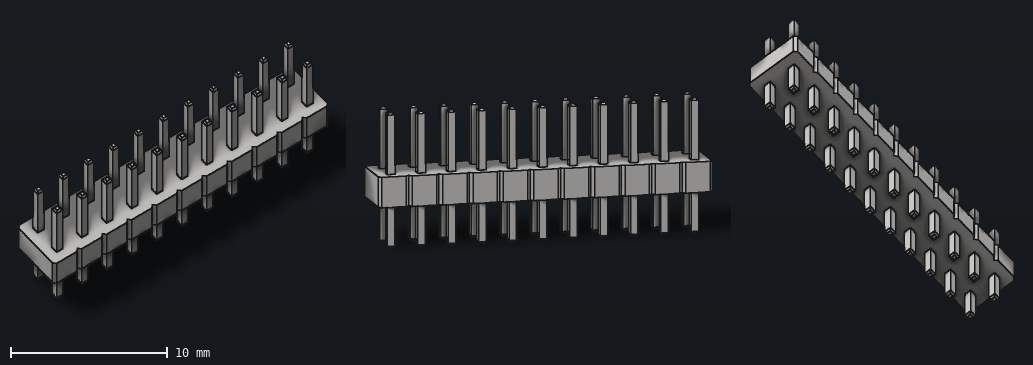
import cadquery as cq

body_length = 22.0
row_count = 11
column_count = 2
pitch = body_length / row_count
body_width = column_count * pitch
body_height = pitch
corner_cut = 0.2

pin_width = 0.5
tip_taper = pin_width / 4
pin_above = 2 * pitch
total_height = 8.8
pin_below = total_height - body_height - pin_above


def make_row_block(y_center):
    """One row of the housing, with its four vertical edges cut at 45 degrees."""
    block = cq.Workplane("XY").box(body_width, pitch, body_height, centered=(True, True, False))
    return block.edges("|Z").chamfer(corner_cut).translate((0, y_center, 0))


def make_pin(x_center, y_center):
    """A square pin running through the housing, tapered at both ends."""
    pin = cq.Workplane("XY").box(pin_width, pin_width, total_height, centered=(True, True, False))
    pin = pin.faces("<Z or >Z").chamfer(tip_taper)
    return pin.translate((x_center, y_center, -pin_below))


row_positions = [(row - (row_count - 1) / 2) * pitch for row in range(row_count)]
column_positions = [(column - (column_count - 1) / 2) * pitch for column in range(column_count)]

housing = make_row_block(row_positions[0])
for y in row_positions[1:]:
    housing = housing.union(make_row_block(y))
housing = housing.clean()

result = housing
for x in column_positions:
    for y in row_positions:
        result = result.union(make_pin(x, y))